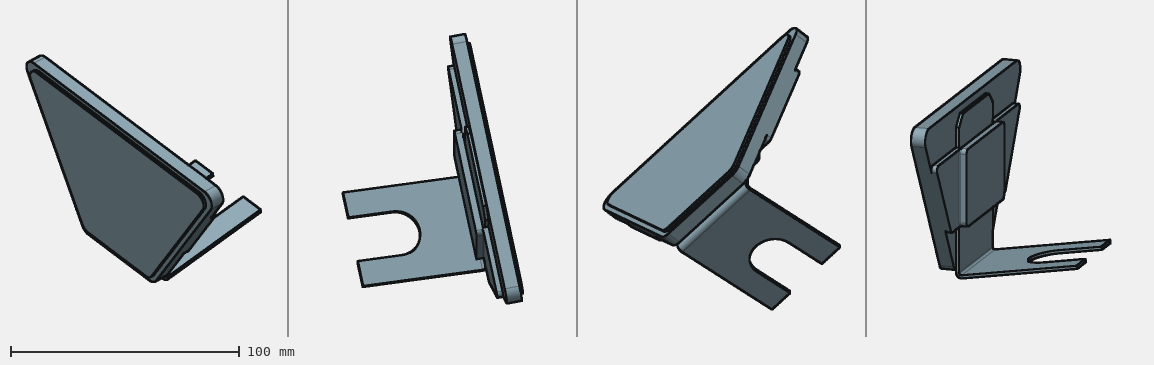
import cadquery as cq
import math

OVERLAP = 0.2

overall_depth = 64.0
overall_height = 77.4

plate_width = 125.0
plate_height = 74.0
plate_thickness = 6.6
plate_radius = 5.0
side_angle = math.radians(60)

pad_inset = 2.5
pad_thickness = 1.2
pad_radius = 4.5

band_top = -18.0
band_height = 35.2
band_thickness = 2.6
band_radius = 2.0
block_width = 49.5
block_back = 5.9
block_fillet = 0.5

sheet = 1.5
bracket_width = 44.0
bracket_top = -3.9
bracket_chamfer = 5.0
bracket_bottom = overall_height - plate_height
bend_inner_radius = 1.0
foot_tilt = math.radians(10)
bracket_back = overall_depth - pad_thickness
fork_width = 20.5
fork_depth = 30.0
pocket_depth = 2.5

sharp_half_width = plate_width / 2 + plate_radius * (1 / math.tan(math.pi / 6) - 1)
band_bottom = band_top - band_height


def half_width_at(z):
    """Half width of the plate between its sloping sides at height z."""
    return sharp_half_width + z / math.tan(side_angle)


def extrude_back(sketch_points, y_start, thickness):
    """Closed X-Z outline extruded toward +Y from y_start."""
    plane = cq.Workplane("XZ", origin=(0, y_start, 0))
    return plane.polyline(sketch_points).close().extrude(-thickness)


def trapezoid(top, bottom, inset, y_start, thickness, radius):
    """Slab between two heights, sides parallel to the plate sides, corners rounded."""
    side_shift = inset / math.sin(side_angle)
    top_half = half_width_at(top) - side_shift
    bottom_half = half_width_at(bottom) - side_shift
    points = [(-top_half, top), (top_half, top), (bottom_half, bottom), (-bottom_half, bottom)]
    return extrude_back(points, y_start, thickness).edges("|Y").fillet(radius)


def make_clamp_block():
    """Rounded block with a concave fillet at its base, cut off flush with the band's long edges."""
    base_y = plate_thickness + band_thickness
    middle_z = (band_top + band_bottom) / 2
    base_side = 2 * block_width
    root = cq.Workplane("XZ", origin=(0, base_y, middle_z))
    block = (
        root.rect(block_width, band_height)
        .extrude(band_thickness - block_back)
        .edges("|Y")
        .fillet(band_radius)
    )
    foot = root.rect(base_side, base_side).extrude(OVERLAP)
    base_edge = cq.selectors.BoxSelector(
        (-block_width / 2 - OVERLAP, base_y - OVERLAP / 2, band_bottom - OVERLAP),
        (block_width / 2 + OVERLAP, base_y + OVERLAP / 2, band_top + OVERLAP),
    )
    flared = block.union(foot).edges(base_edge).fillet(block_fillet)
    trim = root.rect(block_width + 2 * block_fillet, band_height)
    return flared.intersect(trim.extrude(block_back, both=True))


def make_holder():
    plate = trapezoid(0, -plate_height, 0, 0, plate_thickness, plate_radius)
    pad = trapezoid(
        -pad_inset, -plate_height + pad_inset, pad_inset, -pad_thickness, pad_thickness + OVERLAP, pad_radius
    )
    band = trapezoid(
        band_top, band_bottom, 0, plate_thickness - OVERLAP, band_thickness + OVERLAP, band_radius
    )
    holder = plate.union(pad).union(band).union(make_clamp_block())
    pocket = cq.Workplane("XY").box(
        bracket_width, pocket_depth, band_height, centered=(True, False, False)
    ).translate((0, plate_thickness, band_bottom))
    return holder.cut(pocket)


def make_bracket():
    """Vertical strip against the plate, bent into a forked foot that rises toward the back."""
    cos_tilt = math.cos(foot_tilt)
    sin_tilt = math.sin(foot_tilt)
    outer_radius = bend_inner_radius + sheet
    front_y = plate_thickness
    bend_y = front_y + outer_radius
    bend_z = -plate_height - bracket_bottom + outer_radius

    def on_bend(radius, angle):
        return (bend_y + radius * math.cos(angle), bend_z + radius * math.sin(angle))

    start_angle = math.pi
    end_angle = 1.5 * math.pi + foot_tilt
    middle_angle = (start_angle + end_angle) / 2
    outer_end = on_bend(outer_radius, end_angle)
    inner_end = on_bend(bend_inner_radius, end_angle)
    run = (bracket_back - outer_end[0]) / cos_tilt
    lower_tip = (bracket_back, outer_end[1] + run * sin_tilt)
    upper_tip = (lower_tip[0] - sheet * sin_tilt, lower_tip[1] + sheet * cos_tilt)

    bracket = (
        cq.Workplane("YZ", origin=(-bracket_width / 2, 0, 0))
        .moveTo(front_y, bracket_top)
        .lineTo(*on_bend(outer_radius, start_angle))
        .threePointArc(on_bend(outer_radius, middle_angle), outer_end)
        .lineTo(*lower_tip)
        .lineTo(*upper_tip)
        .lineTo(*inner_end)
        .threePointArc(on_bend(bend_inner_radius, middle_angle), on_bend(bend_inner_radius, start_angle))
        .lineTo(front_y + sheet, bracket_top)
        .close()
        .extrude(bracket_width)
    )
    return bracket.edges("|Y").edges(">Z").chamfer(bracket_chamfer).cut(make_fork_slot())


def make_fork_slot():
    """Round-ended slot cut square to the foot surface, open at the rear tip."""
    half = fork_width / 2
    length = fork_depth / math.cos(foot_tilt)
    tip_z = -plate_height - bracket_bottom + bracket_back * math.tan(foot_tilt)
    plane = cq.Plane(
        origin=(0, bracket_back, tip_z),
        xDir=(1, 0, 0),
        normal=(0, -math.sin(foot_tilt), math.cos(foot_tilt)),
    )
    return (
        cq.Workplane(plane)
        .moveTo(-half, sheet)
        .lineTo(-half, half - length)
        .threePointArc((0, -length), (half, half - length))
        .lineTo(half, sheet)
        .close()
        .extrude(4 * sheet, both=True)
    )


holder = make_holder()
bracket = make_bracket()
result = cq.Compound.makeCompound([holder.val(), bracket.val()])